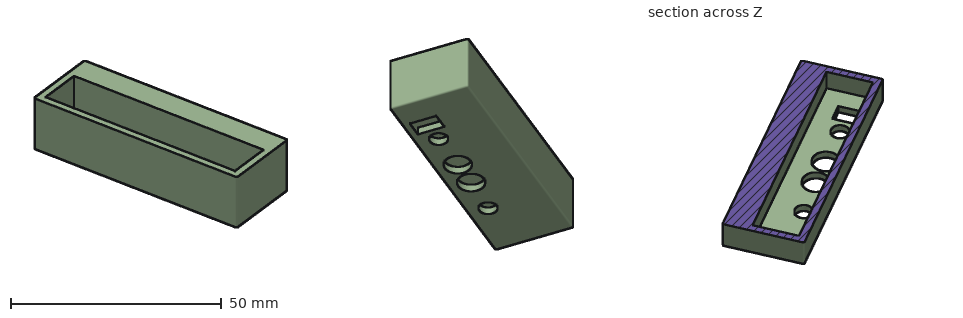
import cadquery as cq

length = 59.5
width = 20.5
height = 14.5
edge_radius = 0.5

wall = 2.0
back_wall = 7.0
cavity_length = length - 2 * wall
cavity_width = width - wall - back_wall
cavity_front_y = -width / 2 + wall

large_hole_diameter = 6.7
large_hole_pitch = 7.5
small_hole_diameter = 4.5
left_hole_x = -14.3
right_hole_x = 14.5
hole_row_y = -4.5
left_hole_y = -5.0

slot_length = 4.5
slot_width = 6.9
slot_left_x = 18.2


def make_body():
    """Solid block with rounded upright and bottom edges and a sharp top rim."""
    block = cq.Workplane("XY").box(length, width, height, centered=(True, True, False))
    return block.edges("|Z or <Z").fillet(edge_radius)


def make_cavity():
    """Rectangular space above the floor, open at the top."""
    return (
        cq.Workplane("XY", origin=(0, cavity_front_y, wall))
        .box(cavity_length, cavity_width, height - wall, centered=(True, False, False))
    )


def make_floor_holes(diameter, centers):
    """Cylinders that pass through the floor at the given centres."""
    return cq.Workplane("XY").pushPoints(centers).circle(diameter / 2).extrude(wall)


def make_floor_slot():
    """Rectangular prism that passes through the floor."""
    return (
        cq.Workplane("XY", origin=(slot_left_x, cavity_front_y, 0))
        .box(slot_length, slot_width, wall, centered=False)
    )


large_hole_centers = [
    (side * large_hole_pitch / 2, hole_row_y) for side in (-1, 1)
]
small_hole_centers = [(left_hole_x, left_hole_y), (right_hole_x, hole_row_y)]

result = (
    make_body()
    .cut(make_cavity())
    .cut(make_floor_holes(large_hole_diameter, large_hole_centers))
    .cut(make_floor_holes(small_hole_diameter, small_hole_centers))
    .cut(make_floor_slot())
)